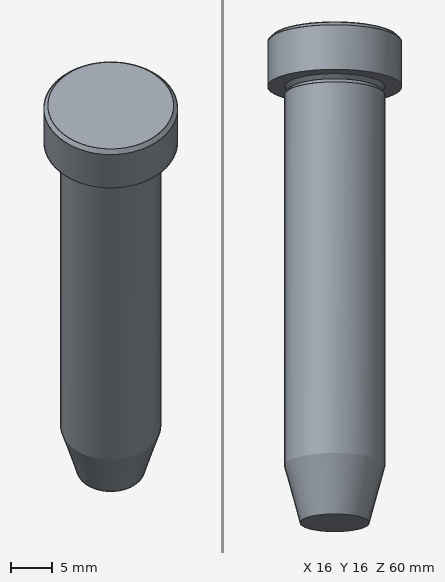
import cadquery as cq
import math

total_length = 60.0
head_diameter = 16.0
head_height = 6.0
head_chamfer = 0.5
shank_diameter = 12.0

groove_depth = 0.5
groove_width = 1.0

tip_length = 7.0
tip_half_angle = 15.0

head_radius = head_diameter / 2
shank_radius = shank_diameter / 2
groove_radius = shank_radius - groove_depth
tip_radius = shank_radius - tip_length * math.tan(math.radians(tip_half_angle))

top = total_length / 2
bottom = -total_length / 2
head_underside = top - head_height
groove_bottom = head_underside - groove_width

profile = [
    (0, bottom),
    (tip_radius, bottom),
    (shank_radius, bottom + tip_length),
    (shank_radius, groove_bottom),
    (groove_radius, groove_bottom + groove_width / 2),
    (shank_radius, head_underside),
    (head_radius, head_underside),
    (head_radius, top - head_chamfer),
    (head_radius - head_chamfer, top),
    (0, top),
]

result = cq.Workplane("XZ").polyline(profile).close().revolve(360, (0, 0), (0, 1))